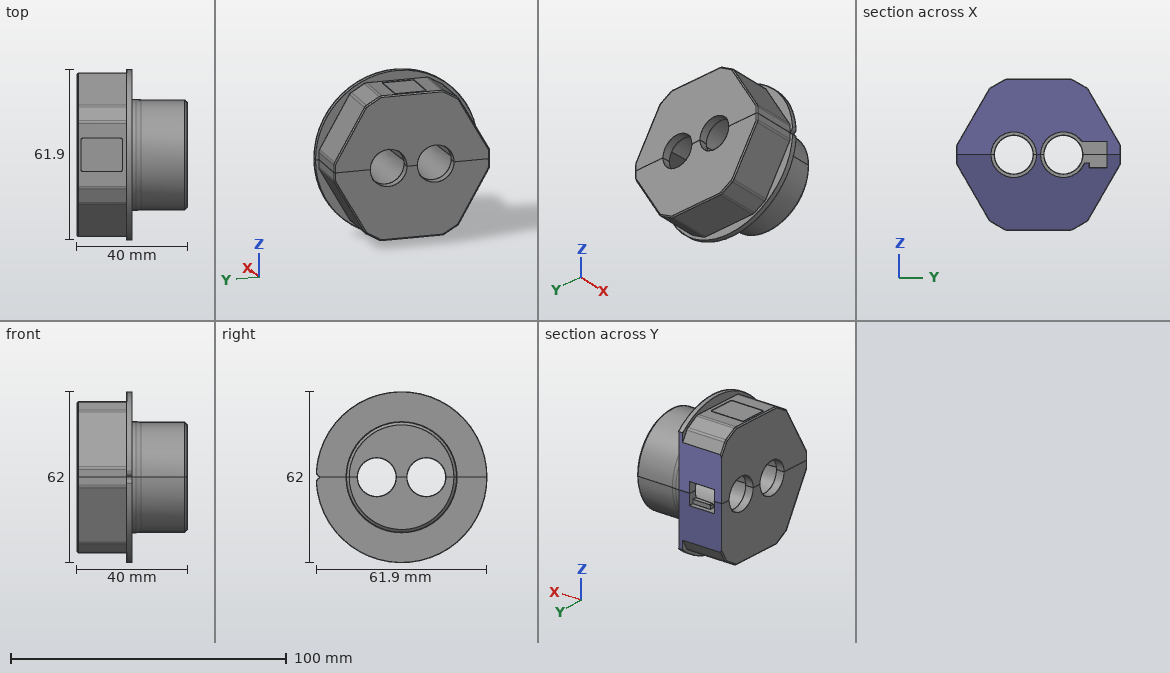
import cadquery as cq
import math

HEAD_LENGTH = 18.0
FLANGE_THICKNESS = 2.0
TOTAL_LENGTH = 40.0
COLLAR_LENGTH = 1.5
COLLAR_TAPER = 1.7
FLANGE_BACK = HEAD_LENGTH + FLANGE_THICKNESS

HEXAGON_APOTHEM = 27.4
CORNER_APOTHEM = 29.7
CORNER_FILLET = 2.0
FRONT_CHAMFER = 0.5

FLANGE_RADIUS = 31.0
BARREL_RADIUS = 19.95
COLLAR_RADIUS = 20.15
BARREL_CHAMFER = 1.0

NOTCH_DEPTH = FLANGE_RADIUS - CORNER_APOTHEM
NOTCH_FILLET = 2.0

PASSAGE_SPACING = 18.0
MOUTH_RADIUS = 7.0
MOUTH_LENGTH = 3.5
SEAT_FRONT_RADIUS = 8.5
SEAT_BACK_RADIUS = 7.0

POCKET_END = 14.9
POCKET_SIDE = 24.8
POCKET_HALF_HEIGHT = 4.7
TOOTH_FRONT = 6.8
TOOTH_SIDE = 18.4
TOOTH_HEIGHT = 1.75
TOOTH_CHAMFER = 0.4

LABEL_FRONT = 1.5
LABEL_LENGTH = 14.95
LABEL_WIDTH = 12.0
LABEL_DEPTH = 0.1
LABEL_CORNER_RADIUS = 0.55


def regular_hexagon_prism(apothem, first_flat_angle):
    """Hexagonal prism along X, with a flat facing the given angle from +Y."""
    corner_radius = apothem / math.cos(math.radians(30))
    return (
        cq.Workplane("YZ")
        .polygon(6, 2 * corner_radius)
        .extrude(HEAD_LENGTH)
        .rotate((0, 0, 0), (1, 0, 0), first_flat_angle - 30)
    )


def make_head():
    head = regular_hexagon_prism(HEXAGON_APOTHEM, 90)
    head = head.intersect(regular_hexagon_prism(CORNER_APOTHEM, 0))
    return head.edges("|X").fillet(CORNER_FILLET).faces("<X").chamfer(FRONT_CHAMFER)


def make_flange():
    flange = (
        cq.Workplane("YZ")
        .workplane(offset=HEAD_LENGTH)
        .circle(FLANGE_RADIUS)
        .extrude(FLANGE_THICKNESS)
    )
    reach = 2 * NOTCH_DEPTH
    notch = (
        cq.Workplane("YZ")
        .workplane(offset=HEAD_LENGTH)
        .moveTo(-CORNER_APOTHEM, 0)
        .lineTo(-CORNER_APOTHEM - reach, reach)
        .lineTo(-CORNER_APOTHEM - reach, -reach)
        .close()
        .extrude(FLANGE_THICKNESS)
    )
    notch_rim = cq.selectors.BoxSelector(
        (HEAD_LENGTH, -FLANGE_RADIUS, -reach),
        (FLANGE_BACK, -CORNER_APOTHEM - NOTCH_DEPTH / 2, reach),
    )
    return flange.cut(notch).edges("|X").edges(notch_rim).fillet(NOTCH_FILLET)


def make_barrel():
    taper_start = FLANGE_BACK + COLLAR_LENGTH
    return (
        cq.Workplane("XZ")
        .moveTo(FLANGE_BACK, 0)
        .lineTo(FLANGE_BACK, COLLAR_RADIUS)
        .lineTo(taper_start, COLLAR_RADIUS)
        .lineTo(taper_start + COLLAR_TAPER, BARREL_RADIUS)
        .lineTo(TOTAL_LENGTH - BARREL_CHAMFER, BARREL_RADIUS)
        .lineTo(TOTAL_LENGTH, BARREL_RADIUS - BARREL_CHAMFER)
        .lineTo(TOTAL_LENGTH, 0)
        .close()
        .revolve(360, (0, 0, 0), (1, 0, 0))
    )


def make_passage(y_centre):
    """Straight mouth that opens into a wider seat tapering toward the back."""
    return (
        cq.Workplane("XY")
        .lineTo(0, MOUTH_RADIUS)
        .lineTo(MOUTH_LENGTH, MOUTH_RADIUS)
        .lineTo(MOUTH_LENGTH, SEAT_FRONT_RADIUS)
        .lineTo(TOTAL_LENGTH, SEAT_BACK_RADIUS)
        .lineTo(TOTAL_LENGTH, 0)
        .close()
        .revolve(360, (0, 0, 0), (1, 0, 0))
        .translate((0, y_centre, 0))
    )


def box_between(low, high):
    """Box from its lowest to its highest corner."""
    sizes = [top - bottom for bottom, top in zip(low, high)]
    return cq.Workplane("XY").box(*sizes, centered=False).translate(low)


def make_latch_pocket():
    """Pocket that opens into the +Y passage, less the tooth on its floor."""
    inner_side = PASSAGE_SPACING / 2
    floor = -POCKET_HALF_HEIGHT
    pocket = box_between(
        (MOUTH_LENGTH, inner_side, floor),
        (POCKET_END, POCKET_SIDE, POCKET_HALF_HEIGHT),
    )
    tooth = box_between(
        (TOOTH_FRONT, inner_side, floor),
        (POCKET_END, TOOTH_SIDE, floor + TOOTH_HEIGHT),
    )
    tooth = tooth.faces(">Z").edges("<X").chamfer(TOOTH_CHAMFER)
    return pocket.cut(tooth)


def make_label_panel():
    return (
        cq.Workplane("XY", origin=(LABEL_FRONT + LABEL_LENGTH / 2, 0, HEXAGON_APOTHEM))
        .rect(LABEL_LENGTH, LABEL_WIDTH)
        .extrude(-LABEL_DEPTH)
        .edges("|Z")
        .fillet(LABEL_CORNER_RADIUS)
    )


def make_whole():
    whole = make_head().union(make_flange()).union(make_barrel())
    whole = whole.cut(make_label_panel()).cut(make_latch_pocket())
    for side in (-1, 1):
        whole = whole.cut(make_passage(side * PASSAGE_SPACING / 2))
    return whole


def half_space(z_sign):
    """Block above (+1) or below (-1) the joint plane, large enough to hold a half of the part."""
    size = 3 * FLANGE_RADIUS
    return cq.Workplane("XY").box(size, size, size).translate((0, 0, z_sign * size / 2))


whole = make_whole()
upper_half = whole.intersect(half_space(1))
lower_half = whole.intersect(half_space(-1))

result = cq.Compound.makeCompound([upper_half.val(), lower_half.val()])